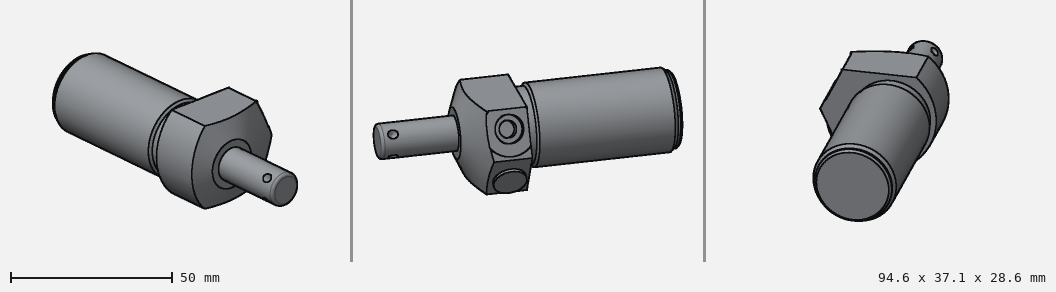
import cadquery as cq
import math

total_length = 94.6
body_radius = 13.2
end_face_radius = 11.5
lip_radius = 12.3
lip_start = 0.8
lip_end = 1.5
body_start = 2.7
body_end = 46.0
neck_radius = 12.3
neck_start = 46.7
pin_radius = 5.6
pin_end_rounding = 1.0

head_start = 50.8
head_end = 69.9
head_half_height = 14.3
ridge_y = 22.9
shoulder_y = 16.1
arc_corner_y = -7.85
arc_bottom_y = ridge_y - 37.1
nose_radius = 8.1
nose_angle = 25.0

port_x = 57.0
port_y = 18.7
spotface_radius = 8.6
spotface_depth = 0.3
port_radius = 4.5
port_depth = 2.5
port_hole_radius = 2.7
port_hole_depth = 5.7
plug_radius = 5.3
plug_height = 1.0
plug_root = 0.9

dimple_x = 90.5
dimple_radius = 1.6

clearance = 2.8


def turned_body():
    """Stepped body, neck and pin, revolved about X."""
    profile = (
        cq.Workplane("XY")
        .moveTo(0, 0)
        .lineTo(0, end_face_radius)
        .lineTo(lip_start, lip_radius)
        .lineTo(lip_end, lip_radius)
        .lineTo(body_start, body_radius)
        .lineTo(body_end, body_radius)
        .lineTo(neck_start, neck_radius)
        .lineTo(head_start, neck_radius)
        .lineTo(head_start, pin_radius)
        .lineTo(total_length, pin_radius)
        .lineTo(total_length, 0)
        .close()
    )
    turned = profile.revolve(360, (0, 0, 0), (1, 0, 0))
    return turned.faces(">X").edges().fillet(pin_end_rounding)


def head():
    """Extruded head outline trimmed by the nose cone."""
    block = (
        cq.Workplane("YZ", origin=(head_start, 0, 0))
        .moveTo(ridge_y, 0)
        .lineTo(shoulder_y, head_half_height)
        .lineTo(arc_corner_y, head_half_height)
        .threePointArc((arc_bottom_y, 0), (arc_corner_y, -head_half_height))
        .lineTo(shoulder_y, -head_half_height)
        .close()
        .extrude(head_end - head_start)
    )
    head_length = head_end - head_start
    cone_base = nose_radius + head_length / math.tan(math.radians(nose_angle))
    cone = cq.Solid.makeCone(
        cone_base, nose_radius, head_length, cq.Vector(head_start, 0, 0), cq.Vector(1, 0, 0)
    )
    return block.intersect(cq.Workplane(cone))


def sloped_disc(side, radius, bottom, top):
    """Cylinder square to a sloping face; side is +1 for the upper face, -1 for the lower.

    Heights are measured outwards from the face.
    """
    slope_length = math.hypot(head_half_height, ridge_y - shoulder_y)
    normal_y = head_half_height / slope_length
    normal_z = side * (ridge_y - shoulder_y) / slope_length
    face_z = side * head_half_height * (ridge_y - port_y) / (ridge_y - shoulder_y)
    base = cq.Vector(port_x, port_y + bottom * normal_y, face_z + bottom * normal_z)
    normal = cq.Vector(0, normal_y, normal_z)
    return cq.Workplane(cq.Solid.makeCylinder(radius, top - bottom, base, normal))


def dimple(angle):
    """90 degree conical dimple in the pin, turned about X by the angle from +Z."""
    tip_z = pin_radius - dimple_radius
    base_radius = dimple_radius + clearance
    cone = cq.Solid.makeCone(
        0, base_radius, base_radius, cq.Vector(dimple_x, 0, tip_z), cq.Vector(0, 0, 1)
    )
    return cq.Workplane(cone).rotate((0, 0, 0), (1, 0, 0), angle)


result = turned_body().union(head())

result = result.union(sloped_disc(-1, plug_radius, -plug_root, plug_height))

port_steps = (
    (spotface_radius, spotface_depth),
    (port_radius, port_depth),
    (port_hole_radius, port_hole_depth),
)
for step_radius, step_depth in port_steps:
    result = result.cut(sloped_disc(1, step_radius, -step_depth, clearance))

for dimple_angle in (45, 135, 225, 315):
    result = result.cut(dimple(dimple_angle))